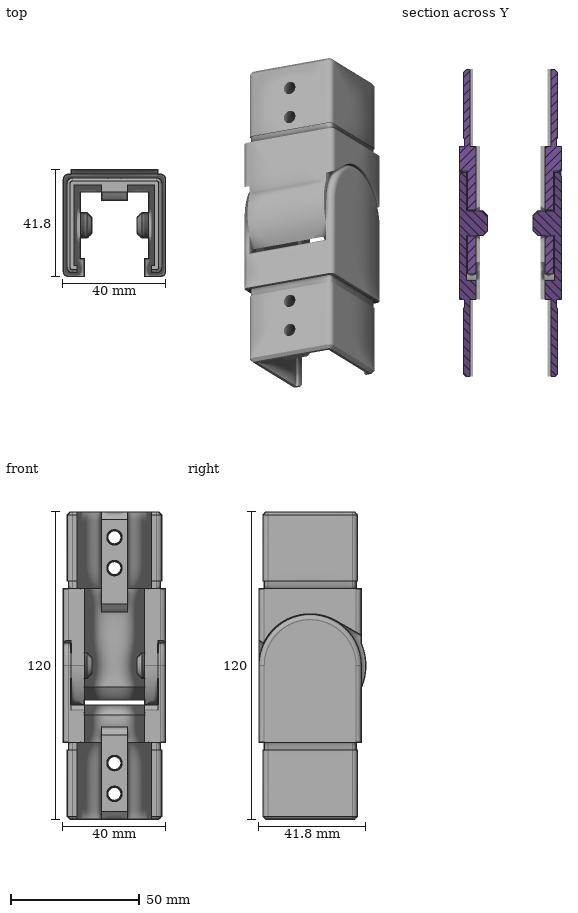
import cadquery as cq
import math

WIDTH = 40.0
DEPTH = 41.8
LENGTH = 120.0
HALF = WIDTH / 2
HALF_LENGTH = LENGTH / 2
CORNER_RADIUS = 2.0

BLOCK_END = 30.0
BLOCK_CAVITY_HALF = 13.3
BLOCK_MOUTH_HALF = 11.8
BLOCK_CAVITY_BACK = 13.0

NECK_HALF = 18.0
SLEEVE_HALF = 18.5
SLEEVE_START = 33.0
SLEEVE_CHAMFER = 1.2
PLUG_CAVITY_HALF = 15.7
PLUG_MOUTH_HALF = 14.5
NECK_CORNER_RADIUS = CORNER_RADIUS - (SLEEVE_HALF - NECK_HALF)

RIB_WIDTH = 10.1
RIB_FACE = 9.7
RIB_CHAMFER_LENGTH = 3.0
RIB_CHAMFER_DEPTH = BLOCK_CAVITY_BACK - RIB_FACE
UPPER_RIB_START = 21.0
LOWER_RIB_START = 24.0
SCREW_HOLE_DIAMETER = 5.0
SCREW_HOLE_CHAMFER = 0.5
SCREW_HOLE_HEIGHTS = (38.0, 50.0)

SIDE_GAP = 0.1
EAR_INNER = 17.0
TONGUE_HALF = EAR_INNER - SIDE_GAP
TONGUE_RADIUS = HALF
CAP_RADIUS = DEPTH - HALF
CAP_END_INNER_Z = -8.3
CAP_END_OUTER_Z = -13.5
EAR_CLEARANCE = 0.2
RELIEF_ANGLE = 30.0
FRONT_RELIEF_Z = 9.8
POCKET_RADIUS = 22.5
LOWER_BLOCK_TOP = -15.4
BACK_PLATE_CHAMFER = 3.8

PIN_DIAMETER = 10.0
PIN_HOLE_DIAMETER = 10.1
PIN_TIP = 8.8
PIN_CHAMFER = 1.9


def box(x_min, x_max, y_min, y_max, z_min, z_max):
    """Box between two opposite corners."""
    size = (x_max - x_min, y_max - y_min, z_max - z_min)
    return cq.Workplane("XY").box(*size, centered=False).translate((x_min, y_min, z_min))


def x_cylinder(radius, x_min, x_max):
    """Cylinder on the hinge axis."""
    return cq.Workplane("YZ").workplane(offset=x_min).circle(radius).extrude(x_max - x_min)


def both_sides(body):
    """A body together with its mirror image on the other side of the YZ plane."""
    return body.union(body.mirror("YZ"))


def rounded_bar(half, radius, z_min, z_max):
    """Square bar with rounded long edges."""
    return box(-half, half, -half, half, z_min, z_max).edges("|Z").fillet(radius)


def cavity(inner_half, mouth_half, back, z_min, z_max):
    """Channel cavity that narrows to a mouth between the two front lips."""
    room = box(-inner_half, inner_half, -back, back, z_min, z_max)
    mouth = box(-mouth_half, mouth_half, -WIDTH, 0, z_min, z_max)
    return room.union(mouth)


def block_cavity():
    """Cavity running through both hinge blocks."""
    return cavity(BLOCK_CAVITY_HALF, BLOCK_MOUTH_HALF, BLOCK_CAVITY_BACK, -BLOCK_END, BLOCK_END)


def plug():
    """C-shaped plug pointing up from the upper hinge block."""
    neck = rounded_bar(NECK_HALF, NECK_CORNER_RADIUS, BLOCK_END, SLEEVE_START)
    sleeve = rounded_bar(SLEEVE_HALF, CORNER_RADIUS, SLEEVE_START, HALF_LENGTH)
    sleeve = sleeve.faces(">Z").chamfer(SLEEVE_CHAMFER)
    hollow = cavity(PLUG_CAVITY_HALF, PLUG_MOUTH_HALF, PLUG_CAVITY_HALF, BLOCK_END, HALF_LENGTH)
    return neck.union(sleeve).cut(hollow)


def rib(start):
    """Clamping rib on the back wall, chamfered at both ends."""
    chamfer_y = RIB_FACE + RIB_CHAMFER_DEPTH
    return (
        cq.Workplane("YZ")
        .moveTo(PLUG_CAVITY_HALF, start)
        .lineTo(chamfer_y, start)
        .lineTo(RIB_FACE, start + RIB_CHAMFER_LENGTH)
        .lineTo(RIB_FACE, HALF_LENGTH - RIB_CHAMFER_LENGTH)
        .lineTo(chamfer_y, HALF_LENGTH)
        .lineTo(PLUG_CAVITY_HALF, HALF_LENGTH)
        .close()
        .extrude(RIB_WIDTH / 2, both=True)
    )


def screw_holes():
    """Two holes through rib and back wall, countersunk on the rib face."""
    holes = cq.Workplane("XY")
    hole_radius = SCREW_HOLE_DIAMETER / 2
    mouth_radius = hole_radius + SCREW_HOLE_CHAMFER
    along_y = cq.Vector(0, 1, 0)
    for height in SCREW_HOLE_HEIGHTS:
        start = cq.Vector(0, RIB_FACE, height)
        holes = holes.add(cq.Solid.makeCylinder(hole_radius, HALF, start, along_y))
        holes = holes.add(cq.Solid.makeCone(mouth_radius, hole_radius, SCREW_HOLE_CHAMFER, start, along_y))
    return holes.combine()


def plug_with_rib(rib_start):
    """Complete plug with its rib and screw holes."""
    return plug().union(rib(rib_start)).cut(screw_holes())


def ear_relief():
    """Space cleared on the +X skin of the upper block for the lower ear."""
    radius = HALF + EAR_CLEARANCE
    slope = math.radians(RELIEF_ANGLE)
    tangent_y = radius * math.sin(slope)
    tangent_z = radius * math.cos(slope)
    back_z = tangent_z - (WIDTH - tangent_y) * math.tan(slope)
    bottom = -BLOCK_END
    thickness = HALF - TONGUE_HALF
    behind = (
        cq.Workplane("YZ")
        .workplane(offset=TONGUE_HALF)
        .polyline([(0, bottom), (0, 0), (tangent_y, tangent_z), (WIDTH, back_z), (WIDTH, bottom)])
        .close()
        .extrude(thickness)
    )
    inner_z = FRONT_RELIEF_Z - HALF * math.tan(slope)
    ahead = (
        cq.Workplane("YZ")
        .workplane(offset=TONGUE_HALF)
        .polyline([(0, bottom), (0, inner_z), (-HALF, FRONT_RELIEF_Z), (-HALF, bottom)])
        .close()
        .extrude(thickness)
    )
    return x_cylinder(radius, TONGUE_HALF, HALF).union(behind).union(ahead)


def cap():
    """Curved cover closing the back of the hinge."""
    end_y = math.sqrt(CAP_RADIUS**2 - CAP_END_OUTER_Z**2)
    top_z = math.sqrt(CAP_RADIUS**2 - BLOCK_CAVITY_BACK**2)
    return (
        cq.Workplane("YZ")
        .moveTo(BLOCK_CAVITY_BACK, CAP_END_INNER_Z)
        .lineTo(end_y, CAP_END_OUTER_Z)
        .threePointArc((CAP_RADIUS, 0), (BLOCK_CAVITY_BACK, top_z))
        .close()
        .extrude(TONGUE_HALF, both=True)
    )


def make_upper_half():
    """Upper connector: hinge block with tongue, cap and pin holes, and its plug."""
    block = rounded_bar(HALF, CORNER_RADIUS, 0, BLOCK_END).cut(both_sides(ear_relief()))
    tongue = x_cylinder(TONGUE_RADIUS, -TONGUE_HALF, TONGUE_HALF)
    back_opening = box(-BLOCK_CAVITY_HALF, BLOCK_CAVITY_HALF, 0, HALF, -HALF, 0)
    tongue = tongue.cut(back_opening)
    pin_holes = x_cylinder(PIN_HOLE_DIAMETER / 2, -HALF, HALF)
    hinge = block.union(tongue).cut(block_cavity()).cut(pin_holes).union(cap())
    return hinge.union(plug_with_rib(UPPER_RIB_START))


def ear():
    """Arched cheek on the +X side, rounded along its outer edge."""
    return (
        cq.Workplane("YZ")
        .workplane(offset=EAR_INNER)
        .moveTo(-HALF, -BLOCK_END)
        .lineTo(-HALF, 0)
        .threePointArc((0, HALF), (HALF, 0))
        .lineTo(HALF, -BLOCK_END)
        .close()
        .extrude(HALF - EAR_INNER)
        .faces(">X")
        .edges("not <Z")
        .fillet(CORNER_RADIUS)
    )


def pin():
    """Pivot pin standing inwards on the +X ear."""
    shaft = x_cylinder(PIN_DIAMETER / 2, PIN_TIP, EAR_INNER)
    return shaft.faces("<X").chamfer(PIN_CHAMFER)


def lower_block():
    """Block below the hinge, hollowed by the swing of the tongue and cap."""
    block = rounded_bar(HALF, CORNER_RADIUS, -BLOCK_END, LOWER_BLOCK_TOP)
    block = block.faces(">Z").edges("<Y").fillet(CORNER_RADIUS)
    block = block.cut(x_cylinder(POCKET_RADIUS, -EAR_INNER, EAR_INNER))
    plate_chamfer = (
        cq.Workplane("YZ")
        .moveTo(BLOCK_CAVITY_BACK, LOWER_BLOCK_TOP)
        .lineTo(BLOCK_CAVITY_BACK, LOWER_BLOCK_TOP - BACK_PLATE_CHAMFER)
        .lineTo(BLOCK_CAVITY_BACK + BACK_PLATE_CHAMFER, LOWER_BLOCK_TOP)
        .close()
        .extrude(BLOCK_CAVITY_HALF, both=True)
    )
    return block.cut(block_cavity()).cut(plate_chamfer)


def make_lower_half():
    """Lower connector: hinge block with ears and pins, and its plug pointing down."""
    hinge = lower_block().union(both_sides(ear())).union(both_sides(pin()))
    return hinge.union(plug_with_rib(LOWER_RIB_START).mirror("XY"))


upper_half = make_upper_half()
lower_half = make_lower_half()

result = cq.Compound.makeCompound([upper_half.val(), lower_half.val()])